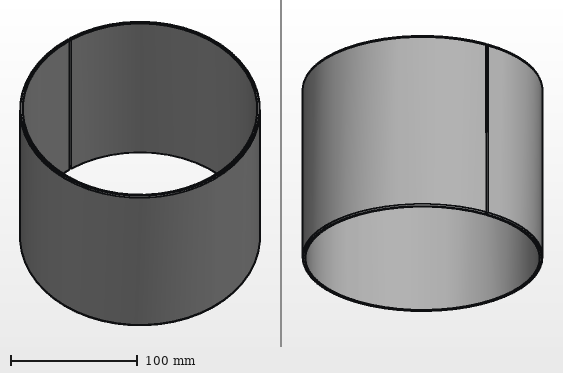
import cadquery as cq

outer_diameter = 190.0
height = 150.0
wall = 2.5
outer_bevel_height = 1.5
outer_bevel_inset = 0.66
inner_bevel = 0.4
slit_width = 1.9

outer_radius = outer_diameter / 2
inner_radius = outer_radius - wall


def make_sleeve():
    """Thin open tube; each rim has a steep outer bevel and a small 45 degree inner one."""
    rim_outer_radius = outer_radius - outer_bevel_inset
    rim_inner_radius = inner_radius + inner_bevel
    profile = [
        (inner_radius, inner_bevel),
        (rim_inner_radius, 0),
        (rim_outer_radius, 0),
        (outer_radius, outer_bevel_height),
        (outer_radius, height - outer_bevel_height),
        (rim_outer_radius, height),
        (rim_inner_radius, height),
        (inner_radius, height - inner_bevel),
    ]
    return cq.Workplane("XZ").polyline(profile).close().revolve(360, (0, 0, 0), (0, 1, 0))


def make_slit():
    """Full-height cut through the wall on the -X side, with one face on the XZ plane."""
    return (
        cq.Workplane("XY")
        .box(4 * wall, slit_width, height, centered=(True, False, False))
        .translate((-outer_radius, 0, 0))
    )


result = make_sleeve().cut(make_slit())